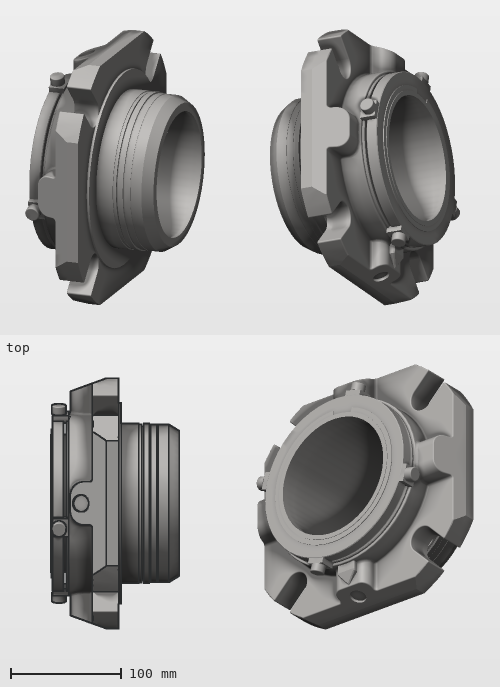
import cadquery as cq
import math


TOLERANCE = 0.02
LOW_SIDE = 2

BORE_DIA = 115.0
SLEEVE_NOSE_DIA = 123.9
SNAP_RING_DIA = 133.5
SNAP_RING_FACE_X = 0.56
SNAP_RING_GAP_ANGLE = 18.5

COLLAR_DIA = 158.9
COLLAR_FACE_X = 1.4
COLLAR_BACK_X = 12.0
COLLAR_CHAMFER = 0.7
GAP_DIA = 124.5
RING_FACE_X = 14.0

HUB_DIA = 164.0
HUB_FACE_X = 16.2
HUB_EDGE_FILLET = 1.4
HUB_ROOT_FILLET = 1.5

FLANGE_HALF = 112.8
FLANGE_CORNER_RADIUS = 126.1
FLANGE_FACE_X = 37.5
FLANGE_BACK_X = 61.2
TAPER_START_X = 50.0
TAPER_ANGLE = 20.0
SLOT_RADIUS = 12.2
SLOT_CENTER_RADIUS = 101.8
SLOT_MOUTH_FILLET = 1.4
EDGE_FILLET = 1.1

BOSS_WIDTH = 38.8
BOSS_FACE_X = 17.8
BOSS_CORNER_RADIUS = 12.0
LOW_BOSS_FACE_X = 23.2
LOW_BOSS_CORNER_RADIUS = 9.0
BOSS_ROOT_FILLET = 2.7
PORT_DIA = 15.3
PORT_X = 27.0
LOW_PORT_X = 36.5
PORT_DEPTH = 2.7

POINTER_ROOT_RADIUS = 79.0
POINTER_WIDTH = 19.0
POINTER_FACE_X = 18.3
POINTER_SHOULDER_Z = -91.0
POINTER_RAMP_Z = -89.4
POINTER_TIP_X = 22.1
POINTER_CHAMFER = 1.0
POINTER_TIP_Z = -102.2

CLIP_COUNT = 4
CLIP_ANGLE = 15.2
CLIP_WIDTH = 17.0
CLIP_FACE_X = 1.7
CLIP_BACK_X = 16.5
CLIP_INNER_RADIUS = 77.2
CLIP_OUTER_RADIUS = 84.0
SCREW_DIA = 13.0
SCREW_X = 7.5
SCREW_TOP_RADIUS = 91.6
SCREW_EDGE_FILLET = 1.0

GASKET_DIA = 181.0
GASKET_BACK_X = 63.5
SPIGOT_DIA = 144.5
SPIGOT_RELIEF_DIA = 142.8
SPIGOT_RELIEF_X = 79.2
SEAL_GROOVE_DIA = 139.2
SEAL_GROOVE_X = 82.1
SEAL_GROOVE_WIDTH = 1.5
SPIGOT_STEP_X = 89.0
NOSE_DIA = 142.4
NOSE_GROOVE_DIA = 141.5
NOSE_GROOVE_WIDTH = 1.1
NOSE_GROOVE_X = 95.7
NOSE_TAPER_X = 106.5
NOSE_END_DIA = 130.9
END_X = 116.0


def disc(diameter, start_x, end_x):
    """Solid cylinder on the seal axis."""
    return cq.Workplane("YZ", origin=(start_x, 0, 0)).circle(diameter / 2).extrude(end_x - start_x)


def turn_about_axis(solid, angle):
    return solid.rotate((0, 0, 0), (1, 0, 0), angle)


def flange_plate():
    """Square plate with corners rounded on one large circle and four diagonal slots."""
    thickness = FLANGE_BACK_X - FLANGE_FACE_X
    plane = cq.Workplane("YZ", origin=(FLANGE_FACE_X, 0, 0))
    plate = plane.rect(2 * FLANGE_HALF, 2 * FLANGE_HALF).extrude(thickness)
    plate = plate.intersect(disc(2 * FLANGE_CORNER_RADIUS, FLANGE_FACE_X, FLANGE_BACK_X))
    slot_reach = FLANGE_CORNER_RADIUS
    slot = (
        plane.center(SLOT_CENTER_RADIUS + slot_reach / 2, 0)
        .slot2D(slot_reach + 2 * SLOT_RADIUS, 2 * SLOT_RADIUS)
        .extrude(thickness)
    )
    for quarter in range(4):
        plate = plate.cut(turn_about_axis(slot, 45 + 90 * quarter))
    mouth_reach = FLANGE_CORNER_RADIUS - SLOT_MOUTH_FILLET
    mouths = plate.edges("|X").filter(
        lambda edge: math.hypot(edge.Center().y, edge.Center().z) > mouth_reach
        and min(abs(edge.Center().y), abs(edge.Center().z)) > FLANGE_HALF / 2 + SLOT_RADIUS
    )
    return mouths.fillet(SLOT_MOUTH_FILLET)


def boss(face_x, corner_radius):
    """Radial boss toward +Z, rounded at the front and running through the flange."""
    half = BOSS_WIDTH / 2
    return (
        cq.Workplane("XY")
        .moveTo(FLANGE_BACK_X, -half)
        .lineTo(face_x + corner_radius, -half)
        .radiusArc((face_x, -half + corner_radius), corner_radius)
        .lineTo(face_x, half - corner_radius)
        .radiusArc((face_x + corner_radius, half), corner_radius)
        .lineTo(FLANGE_BACK_X, half)
        .close()
        .extrude(FLANGE_HALF)
    )


def side_taper():
    """Wedge that slopes the +Z side of the flange and of its boss."""
    run = TAPER_START_X
    drop = run * math.tan(math.radians(TAPER_ANGLE))
    return (
        cq.Workplane("XZ", origin=(0, FLANGE_CORNER_RADIUS, 0))
        .moveTo(TAPER_START_X, FLANGE_HALF)
        .lineTo(0, FLANGE_HALF - drop)
        .lineTo(0, FLANGE_HALF)
        .close()
        .extrude(2 * FLANGE_CORNER_RADIUS)
    )


def port(center_x):
    """Shallow round recess square to the sloped side of the +Z boss."""
    slope = math.radians(TAPER_ANGLE)
    normal = cq.Vector(-math.sin(slope), 0, math.cos(slope))
    surface_z = FLANGE_HALF - (TAPER_START_X - center_x) * math.tan(slope)
    floor = cq.Vector(center_x, 0, surface_z) - normal * PORT_DEPTH
    return cq.Workplane(cq.Solid.makeCylinder(PORT_DIA / 2, 2 * PORT_DEPTH, floor, normal))


def is_on_hub_surface(edge):
    """True for an edge that lies all along the cylinder of the hub."""
    points = [edge.positionAt(share) for share in (0, 0.5, 1)]
    return all(abs(math.hypot(point.y, point.z) - HUB_DIA / 2) < TOLERANCE for point in points)


def is_on_flange_face(edge):
    return abs(edge.Center().x - FLANGE_FACE_X) < TOLERANCE


def is_boss_root(edge):
    """True for the curves where the bosses grow out of the hub."""
    is_behind_hub_face = edge.Center().x > HUB_FACE_X + HUB_EDGE_FILLET + TOLERANCE
    is_curve_ahead_of_flange = edge.geomType() != "LINE" and edge.Center().x < FLANGE_FACE_X - TOLERANCE
    return is_behind_hub_face and is_curve_ahead_of_flange and is_on_hub_surface(edge)


def is_boss_foot(edge):
    """True for the straight edges where the flanks of the bosses meet the flange face."""
    center = edge.Center()
    flank_offset = min(abs(center.y), abs(center.z))
    is_on_flank = abs(flank_offset - BOSS_WIDTH / 2) < TOLERANCE
    return edge.geomType() == "LINE" and is_on_flange_face(edge) and is_on_flank


def is_hub_root(edge):
    """True for the arcs where the hub meets the flange face."""
    return edge.geomType() == "CIRCLE" and is_on_flange_face(edge) and is_on_hub_surface(edge)


def is_plate_rim(edge):
    """True for the outline of the flange face around the corners and the slots."""
    center = edge.Center()
    is_clear_of_bosses = min(abs(center.y), abs(center.z)) > BOSS_WIDTH / 2 + BOSS_ROOT_FILLET + TOLERANCE
    is_clear_of_hub = math.hypot(center.y, center.z) > HUB_DIA / 2 + 2 * HUB_ROOT_FILLET
    return is_on_flange_face(edge) and is_clear_of_bosses and is_clear_of_hub


def is_sloped_side(face):
    is_plane = face.geomType() == "PLANE"
    return is_plane and abs(face.normalAt().x + math.sin(math.radians(TAPER_ANGLE))) < TOLERANCE


def gland():
    """Plate, sloped bosses and hub, with their roots and front edges blended."""
    body = flange_plate()
    for quarter in range(4):
        if quarter == LOW_SIDE:
            side_boss = boss(LOW_BOSS_FACE_X, LOW_BOSS_CORNER_RADIUS)
        else:
            side_boss = boss(BOSS_FACE_X, BOSS_CORNER_RADIUS)
        body = body.union(turn_about_axis(side_boss, 90 * quarter))
    for quarter in range(4):
        body = body.cut(turn_about_axis(side_taper(), 90 * quarter))
    hub = disc(HUB_DIA, HUB_FACE_X, FLANGE_BACK_X).faces("<X").edges().fillet(HUB_EDGE_FILLET)
    body = body.union(hub)
    boss_feet = body.edges().filter(is_boss_foot)
    body = body.edges().filter(is_boss_root).add(boss_feet).fillet(BOSS_ROOT_FILLET)
    body = body.edges().filter(is_hub_root).fillet(HUB_ROOT_FILLET)
    sloped_edges = body.faces().filter(is_sloped_side).edges()
    front_sloped_edges = sloped_edges.filter(lambda edge: edge.Center().x < FLANGE_FACE_X + TOLERANCE)
    rim_edges = body.edges().filter(is_plate_rim)
    body = rim_edges.add(front_sloped_edges).fillet(EDGE_FILLET)
    body = body.cut(port(PORT_X))
    body = body.cut(turn_about_axis(port(LOW_PORT_X), 90 * LOW_SIDE))
    return body.union(pointer())


def is_pointer_rim(edge):
    """True for the front edges along both flanks of the pointer."""
    center = edge.Center()
    return center.x < POINTER_TIP_X and abs(center.y) > TOLERANCE and center.z < -POINTER_ROOT_RADIUS - TOLERANCE


def pointer():
    """Arrow on the lower boss, with a flat front that ramps down to the tip."""
    half = POINTER_WIDTH / 2
    root_x = LOW_BOSS_FACE_X + LOW_BOSS_CORNER_RADIUS
    arrow = (
        cq.Workplane("YZ", origin=(POINTER_FACE_X, 0, 0))
        .moveTo(-half, -POINTER_ROOT_RADIUS)
        .lineTo(-half, POINTER_SHOULDER_Z)
        .lineTo(0, POINTER_TIP_Z)
        .lineTo(half, POINTER_SHOULDER_Z)
        .lineTo(half, -POINTER_ROOT_RADIUS)
        .close()
        .extrude(root_x - POINTER_FACE_X)
    )
    ramp = (
        cq.Workplane("XZ", origin=(0, half, 0))
        .moveTo(POINTER_FACE_X, POINTER_RAMP_Z)
        .lineTo(POINTER_TIP_X, POINTER_TIP_Z)
        .lineTo(POINTER_FACE_X, POINTER_TIP_Z)
        .close()
        .extrude(POINTER_WIDTH)
    )
    arrow = arrow.cut(ramp)
    return arrow.edges().filter(is_pointer_rim).chamfer(POINTER_CHAMFER)


def clamping_collar():
    """Sleeve nose with snap ring, chamfered collar, gap and stationary ring."""
    collar = disc(COLLAR_DIA, COLLAR_FACE_X, COLLAR_BACK_X).edges().chamfer(COLLAR_CHAMFER)
    sleeve_nose = disc(SLEEVE_NOSE_DIA, 0, COLLAR_BACK_X)
    gap_core = disc(GAP_DIA, COLLAR_BACK_X, RING_FACE_X)
    ring = disc(COLLAR_DIA, RING_FACE_X, HUB_FACE_X).faces("<X").edges().chamfer(COLLAR_CHAMFER)
    return collar.union(sleeve_nose).union(gap_core).union(ring).union(snap_ring())


def snap_ring():
    """Open ring around the sleeve nose; its gap runs from +Z toward -Y."""
    ring = disc(SNAP_RING_DIA, SNAP_RING_FACE_X, COLLAR_FACE_X)
    gap_angle = math.radians(SNAP_RING_GAP_ANGLE)
    gap = (
        cq.Workplane("YZ")
        .lineTo(0, SNAP_RING_DIA)
        .lineTo(-SNAP_RING_DIA * math.tan(gap_angle), SNAP_RING_DIA)
        .close()
        .extrude(COLLAR_FACE_X)
    )
    return ring.cut(gap)


def setting_clip():
    """Block bridging the collar and the hub, with a round screw head on top."""
    length = CLIP_BACK_X - CLIP_FACE_X
    block = (
        cq.Workplane("XY", origin=(CLIP_FACE_X + length / 2, 0, CLIP_INNER_RADIUS))
        .rect(length, CLIP_WIDTH)
        .extrude(CLIP_OUTER_RADIUS - CLIP_INNER_RADIUS)
    )
    screw = (
        cq.Workplane("XY", origin=(SCREW_X, 0, CLIP_OUTER_RADIUS))
        .circle(SCREW_DIA / 2)
        .extrude(SCREW_TOP_RADIUS - CLIP_OUTER_RADIUS)
        .faces(">Z")
        .edges()
        .fillet(SCREW_EDGE_FILLET)
    )
    return block.union(screw)


def rear_spigot():
    """Gasket and stepped, grooved spigot with a tapered end."""
    seal_groove_end = SEAL_GROOVE_X + SEAL_GROOVE_WIDTH
    nose_start = SPIGOT_STEP_X + NOSE_GROOVE_WIDTH
    nose_groove_end = NOSE_GROOVE_X + NOSE_GROOVE_WIDTH
    steps = [
        (GASKET_DIA, FLANGE_BACK_X, GASKET_BACK_X),
        (SPIGOT_DIA, GASKET_BACK_X, SPIGOT_RELIEF_X),
        (SPIGOT_RELIEF_DIA, SPIGOT_RELIEF_X, SEAL_GROOVE_X),
        (SEAL_GROOVE_DIA, SEAL_GROOVE_X, seal_groove_end),
        (SPIGOT_DIA, seal_groove_end, SPIGOT_STEP_X),
        (NOSE_GROOVE_DIA, SPIGOT_STEP_X, nose_start),
        (NOSE_DIA, nose_start, NOSE_GROOVE_X),
        (NOSE_GROOVE_DIA, NOSE_GROOVE_X, nose_groove_end),
        (NOSE_DIA, nose_groove_end, END_X),
    ]
    spigot = cq.Workplane()
    for diameter, start_x, end_x in steps:
        spigot = spigot.union(disc(diameter, start_x, end_x))
    taper_depth = (NOSE_DIA - NOSE_END_DIA) / 2
    return spigot.faces(">X").edges().chamfer(END_X - NOSE_TAPER_X, taper_depth)


result = gland().union(clamping_collar()).union(rear_spigot())
for index in range(CLIP_COUNT):
    clip_angle = CLIP_ANGLE + 360 / CLIP_COUNT * index
    result = result.union(turn_about_axis(setting_clip(), clip_angle))
result = result.cut(disc(BORE_DIA, 0, END_X))